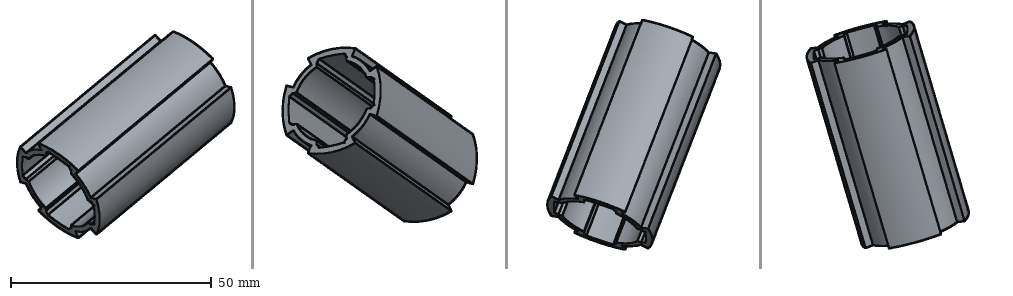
import cadquery as cq
import math

length = 50.0
half_width = 14.0

crown_half_chord = 6.75
crown_edge_height = 12.85
groove_radius = 12.4
groove_half_chord = 5.85

bore_radius = 10.85
land_edge_offset = 4.25
recess_wall_top = 11.0
recess_roof_half_width = 3.55
recess_roof_edge_height = 12.05
recess_roof_height = 12.25

SIDES = 4


def height_on_circle(radius, offset):
    """Height at which a centred circle passes the given sideways offset."""
    return math.sqrt(radius**2 - offset**2)


def turned(point, side):
    """Turn a point of the top side clockwise onto another side."""
    angle = -side * math.tau / SIDES
    x, z = point
    return (
        x * math.cos(angle) - z * math.sin(angle),
        x * math.sin(angle) + z * math.cos(angle),
    )


def four_sided_prism(edge_points, crest_height, link_radius):
    """Extrude a closed outline along Y.

    edge_points run from the crest's right end to the linking arc.
    Their mirror image forms the left half of each side.
    """
    left_points = [(-x, z) for x, z in reversed(edge_points)]
    crest = (0, crest_height)
    half_turn = math.pi / SIDES
    link_middle = (link_radius * math.sin(half_turn), link_radius * math.cos(half_turn))

    outline = cq.Workplane("XZ", origin=(0, length / 2, 0)).moveTo(*left_points[0])
    for side in range(SIDES):
        for point in left_points[1:]:
            outline = outline.lineTo(*turned(point, side))
        outline = outline.threePointArc(turned(crest, side), turned(edge_points[0], side))
        for point in edge_points[1:]:
            outline = outline.lineTo(*turned(point, side))
        next_start = turned(left_points[0], (side + 1) % SIDES)
        outline = outline.threePointArc(turned(link_middle, side), next_start)
    return outline.close().extrude(length)


body = four_sided_prism(
    [
        (crown_half_chord, crown_edge_height),
        (groove_half_chord, height_on_circle(groove_radius, groove_half_chord)),
    ],
    half_width,
    groove_radius,
)

bore = four_sided_prism(
    [
        (recess_roof_half_width, recess_roof_edge_height),
        (land_edge_offset, recess_wall_top),
        (land_edge_offset, height_on_circle(bore_radius, land_edge_offset)),
    ],
    recess_roof_height,
    bore_radius,
)

result = body.cut(bore)